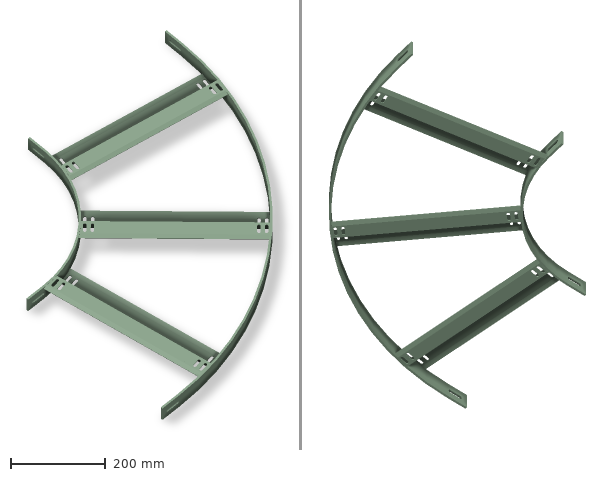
import cadquery as cq
import math

overall_size = 710.0
rail_height = 40.0
rail_thickness = 5.0
tail_length = 50.0
clear_width = 400.0
outer_rail_radius = overall_size - tail_length
rung_outer_end = outer_rail_radius - rail_thickness
rung_inner_end = rung_outer_end - clear_width
inner_rail_radius = rung_inner_end

tail_slot_length = 37.0
tail_slot_height = 8.5
tail_slot_offset = 30.5

rung_angles = [10, 45, 80]
sheet = 2.0
half_width = 48.0
end_stock = 7.0
lip_start = 38.0
web_angle = math.radians(70)
lip_angle = math.radians(19)

rung_slot_length = 23.0
rung_slot_width = 7.0
rung_slot_side = 23.5
rung_slot_insets = [8.0, 24.0]

bend_centre = (tail_length, tail_length)


def rail_area(radius):
    """Solid block bounded outside by a rail face of the given bend radius."""
    reach = tail_length + radius
    diagonal = tail_length + radius * math.sqrt(0.5)
    return (
        cq.Workplane("XY")
        .lineTo(0, reach)
        .lineTo(tail_length, reach)
        .threePointArc((diagonal, diagonal), (reach, tail_length))
        .lineTo(reach, 0)
        .close()
        .extrude(rail_height)
    )


def tail_slot_cutter(plane, depth):
    """Slot bar running through a tail that starts at the given plane's zero."""
    return (
        cq.Workplane(plane)
        .center(tail_slot_offset, rail_height / 2)
        .slot2D(tail_slot_length, tail_slot_height)
        .extrude(depth)
    )


def make_rail(radius):
    """Rail whose outer face has the given bend radius."""
    rail = rail_area(radius).cut(rail_area(radius - rail_thickness))
    slot_depth = 2 * overall_size
    return rail.cut(tail_slot_cutter("XZ", -slot_depth)).cut(tail_slot_cutter("YZ", slot_depth))


def rung_section():
    """Section outline: u across the rung, z up, symmetric by a half turn."""
    half_height = rail_height / 2
    floor_top = sheet - half_height
    web_offset = sheet / 2 / math.sin(web_angle)
    lip_run = half_width - lip_start
    lip_rise = lip_run * math.tan(lip_angle)
    bend_shift = sheet / 2 * math.tan(lip_angle / 2)
    tip_run = sheet * math.sin(lip_angle)
    tip_rise = sheet * math.cos(lip_angle)

    low_bend = (-lip_start + bend_shift, floor_top)
    low_tip = (-half_width + tip_run, floor_top + lip_rise)
    web_foot = (floor_top / math.tan(web_angle) - web_offset, floor_top)
    web_head = (half_height / math.tan(web_angle) - web_offset, half_height)
    high_bend = (lip_start + bend_shift, half_height)
    high_tip = (half_width, half_height - lip_rise)
    upper_skin = [low_tip, low_bend, web_foot, web_head, high_bend, high_tip]
    lower_skin = [(-u, -z) for u, z in upper_skin]
    return upper_skin + lower_skin


def make_rung(angle):
    """Rung lying along a radius at the given angle from +X."""
    rung = (
        cq.Workplane("YZ", origin=(rung_inner_end - end_stock, 0, rail_height / 2))
        .polyline([(-u, z) for u, z in rung_section()])
        .close()
        .extrude(clear_width + end_stock)
    )
    slot_places = [
        (x, y)
        for inset in rung_slot_insets
        for x in (rung_inner_end + inset, rung_outer_end - inset)
        for y in (-rung_slot_side, rung_slot_side)
    ]
    slots = (
        cq.Workplane("XY")
        .pushPoints(slot_places)
        .slot2D(rung_slot_length, rung_slot_width, 90)
        .extrude(rail_height)
    )
    placed_rung = rung.cut(slots).rotate((0, 0, 0), (0, 0, 1), angle).translate((*bend_centre, 0))
    rail_gap = rail_area(rung_outer_end).cut(rail_area(inner_rail_radius))
    return placed_rung.intersect(rail_gap)


outer_rail = make_rail(outer_rail_radius)
inner_rail = make_rail(inner_rail_radius)
rungs = [make_rung(angle) for angle in rung_angles]

result = cq.Compound.makeCompound(
    [outer_rail.val(), inner_rail.val(), *[rung.val() for rung in rungs]]
)